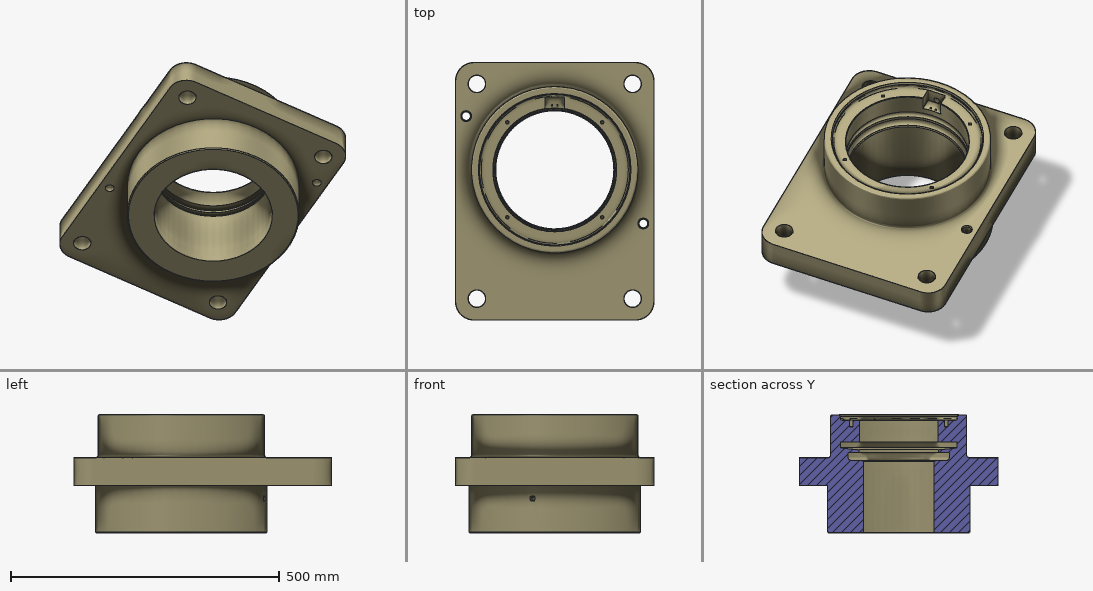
import cadquery as cq
import math

TOTAL_HEIGHT = 220.0
BOSS_HEIGHT = 80.0
PLATE_THICKNESS = 52.0
PLATE_TOP = TOTAL_HEIGHT - BOSS_HEIGHT
PLATE_BOTTOM = PLATE_TOP - PLATE_THICKNESS

PLATE_WIDTH = 370.0
PLATE_LENGTH = 480.0
PLATE_CORNER_RADIUS = 35.0
PLATE_CENTER_Y = -40.0

BASE_EDGE_CHAMFER = 2.0
BOSS_RADIUS = 155.0
BOSS_EDGE_FILLET = 3.0
BOSS_FOOT_FILLET = 5.0
BASE_RADIUS = BOSS_RADIUS + BOSS_FOOT_FILLET

RECESS_DEPTH = 10.0
RECESS_RADIUS = 140.0
RECESS_FLOOR_Z = TOTAL_HEIGHT - RECESS_DEPTH
RECESS_FILLET = 3.0
LEAD_IN_WIDTH = 2.0
LEAD_IN_HEIGHT = 3.5

COLLAR_RADIUS = 114.5
COLLAR_CHAMFER = 1.0
COLLAR_BOTTOM_Z = TOTAL_HEIGHT - 51.0
CHAMBER_RADIUS = 140.0
LIP_RADIUS = 115.0
LIP_THICKNESS = 5.5
LIP_EDGE_Z = TOTAL_HEIGHT - 65.0
LIP_BOTTOM_Z = LIP_EDGE_Z - LIP_THICKNESS
LIP_SLOPE_ANGLE = 8.0
SEAT_RADIUS = 129.0
SEAT_FLOOR_Z = TOTAL_HEIGHT - 85.0
SEAT_FILLET = 5.0
BORE_RADIUS = 110.0
BORE_CHAMFER = 2.0

MOUNT_HOLE_DIAMETER = 32.0
MOUNT_HOLE_EDGE_OFFSET = 40.0
PIN_HOLE_DIAMETER = 16.0
PIN_HOLE_CHAMFER = 2.0
PIN_HOLE_X = 165.0
PIN_HOLE_Y = 100.0

SCREW_CIRCLE_RADIUS = 125.0
SCREW_HOLE_DIAMETER = 6.0
SCREW_HOLE_DEPTH = 12.0
SCREW_HOLE_COUNT = 4
SCREW_START_ANGLE = 45.0

POCKET_WIDTH = 36.0
POCKET_BACK_Y = 136.0
POCKET_DEPTH = 28.0
POCKET_CORNER_RADIUS = 3.0
POCKET_FLOOR_Z = RECESS_FLOOR_Z - POCKET_DEPTH
POCKET_SCREW_COUNT = 2
POCKET_SCREW_DIAMETER = 2.5
POCKET_SCREW_DEPTH = 8.0
POCKET_SCREW_SPACING = 10.0
POCKET_SCREW_Y = 120.0
CABLE_HOLE_DIAMETER = 12.0
CABLE_HOLE_Z = POCKET_FLOOR_Z + 7.0

PORT_ANGLE = 255.0
PORT_DIAMETER = 10.0
PORT_DEPTH = 15.0
PORT_TIP_ANGLE = 118.0
PORT_Z = PLATE_BOTTOM - 24.0

ARC_MIDPOINT = math.sqrt(0.5)


def make_plate():
    return (
        cq.Workplane("XY", origin=(0, PLATE_CENTER_Y, PLATE_BOTTOM))
        .rect(PLATE_WIDTH, PLATE_LENGTH)
        .extrude(PLATE_THICKNESS)
        .edges("|Z")
        .fillet(PLATE_CORNER_RADIUS)
    )


def make_round_body():
    """Base and boss, turned about Z, before the inside is removed."""
    edge_center_r = BOSS_RADIUS - BOSS_EDGE_FILLET
    edge_center_z = TOTAL_HEIGHT - BOSS_EDGE_FILLET
    edge_offset = BOSS_EDGE_FILLET * ARC_MIDPOINT
    foot_center_z = PLATE_TOP + BOSS_FOOT_FILLET
    foot_offset = BOSS_FOOT_FILLET * ARC_MIDPOINT
    return (
        cq.Workplane("XZ")
        .moveTo(0, 0)
        .lineTo(BASE_RADIUS - BASE_EDGE_CHAMFER, 0)
        .lineTo(BASE_RADIUS, BASE_EDGE_CHAMFER)
        .lineTo(BASE_RADIUS, PLATE_TOP)
        .threePointArc(
            (BASE_RADIUS - foot_offset, foot_center_z - foot_offset),
            (BOSS_RADIUS, foot_center_z),
        )
        .lineTo(BOSS_RADIUS, edge_center_z)
        .threePointArc(
            (edge_center_r + edge_offset, edge_center_z + edge_offset),
            (edge_center_r, TOTAL_HEIGHT),
        )
        .lineTo(0, TOTAL_HEIGHT)
        .close()
        .revolve(360, (0, 0, 0), (0, 1, 0))
    )


def make_inside():
    """Turned cavity from the top recess down through the bore."""
    recess_arc_r = RECESS_RADIUS - RECESS_FILLET
    recess_arc_z = RECESS_FLOOR_Z + RECESS_FILLET
    recess_offset = RECESS_FILLET * ARC_MIDPOINT
    seat_arc_r = SEAT_RADIUS - SEAT_FILLET
    seat_arc_z = SEAT_FLOOR_Z + SEAT_FILLET
    seat_offset = SEAT_FILLET * ARC_MIDPOINT
    lip_rise = (CHAMBER_RADIUS - LIP_RADIUS) * math.tan(math.radians(LIP_SLOPE_ANGLE))
    return (
        cq.Workplane("XZ")
        .moveTo(0, 0)
        .lineTo(BORE_RADIUS, 0)
        .lineTo(BORE_RADIUS, SEAT_FLOOR_Z - BORE_CHAMFER)
        .lineTo(BORE_RADIUS + BORE_CHAMFER, SEAT_FLOOR_Z)
        .lineTo(seat_arc_r, SEAT_FLOOR_Z)
        .threePointArc(
            (seat_arc_r + seat_offset, seat_arc_z - seat_offset),
            (SEAT_RADIUS, seat_arc_z),
        )
        .lineTo(SEAT_RADIUS, LIP_BOTTOM_Z)
        .lineTo(LIP_RADIUS, LIP_BOTTOM_Z)
        .lineTo(LIP_RADIUS, LIP_EDGE_Z)
        .lineTo(CHAMBER_RADIUS, LIP_EDGE_Z + lip_rise)
        .lineTo(CHAMBER_RADIUS, COLLAR_BOTTOM_Z)
        .lineTo(COLLAR_RADIUS, COLLAR_BOTTOM_Z)
        .lineTo(COLLAR_RADIUS, RECESS_FLOOR_Z - COLLAR_CHAMFER)
        .lineTo(COLLAR_RADIUS + COLLAR_CHAMFER, RECESS_FLOOR_Z)
        .lineTo(recess_arc_r, RECESS_FLOOR_Z)
        .threePointArc(
            (recess_arc_r + recess_offset, recess_arc_z - recess_offset),
            (RECESS_RADIUS, recess_arc_z),
        )
        .lineTo(RECESS_RADIUS, TOTAL_HEIGHT - LEAD_IN_HEIGHT)
        .lineTo(RECESS_RADIUS + LEAD_IN_WIDTH, TOTAL_HEIGHT)
        .lineTo(0, TOTAL_HEIGHT)
        .close()
        .revolve(360, (0, 0, 0), (0, 1, 0))
    )


def make_mount_holes():
    return (
        cq.Workplane("XY", origin=(0, PLATE_CENTER_Y, PLATE_BOTTOM))
        .rect(
            PLATE_WIDTH - 2 * MOUNT_HOLE_EDGE_OFFSET,
            PLATE_LENGTH - 2 * MOUNT_HOLE_EDGE_OFFSET,
            forConstruction=True,
        )
        .vertices()
        .circle(MOUNT_HOLE_DIAMETER / 2)
        .extrude(PLATE_THICKNESS)
    )


def make_pin_hole(x, y):
    """Through hole in the plate with a chamfered upper edge."""
    radius = PIN_HOLE_DIAMETER / 2
    hole = (
        cq.Workplane("XY", origin=(x, y, PLATE_BOTTOM))
        .circle(radius)
        .extrude(PLATE_THICKNESS)
    )
    chamfer_cone = cq.Solid.makeCone(
        radius,
        radius + PIN_HOLE_CHAMFER,
        PIN_HOLE_CHAMFER,
        pnt=cq.Vector(x, y, PLATE_TOP - PIN_HOLE_CHAMFER),
    )
    return hole.union(cq.Workplane(chamfer_cone))


def make_screw_holes():
    return (
        cq.Workplane("XY", origin=(0, 0, RECESS_FLOOR_Z))
        .polarArray(SCREW_CIRCLE_RADIUS, SCREW_START_ANGLE, 360, SCREW_HOLE_COUNT)
        .circle(SCREW_HOLE_DIAMETER / 2)
        .extrude(-SCREW_HOLE_DEPTH)
    )


def make_pocket():
    """Notch open to the bore, with two screw holes in its floor and a cable hole behind."""
    notch = (
        cq.Workplane("XY", origin=(0, POCKET_BACK_Y / 2, POCKET_FLOOR_Z))
        .rect(POCKET_WIDTH, POCKET_BACK_Y)
        .extrude(POCKET_DEPTH)
        .edges("|Z and >Y")
        .fillet(POCKET_CORNER_RADIUS)
    )
    screw_holes = (
        cq.Workplane("XY", origin=(0, POCKET_SCREW_Y, POCKET_FLOOR_Z))
        .rarray(POCKET_SCREW_SPACING, 1, POCKET_SCREW_COUNT, 1)
        .circle(POCKET_SCREW_DIAMETER / 2)
        .extrude(-POCKET_SCREW_DEPTH)
    )
    cable_hole = (
        cq.Workplane("XZ", origin=(0, POCKET_SCREW_Y, CABLE_HOLE_Z))
        .circle(CABLE_HOLE_DIAMETER / 2)
        .extrude(POCKET_SCREW_Y - BASE_RADIUS)
    )
    return notch.union(screw_holes).union(cable_hole)


def make_port():
    """Blind radial hole with a drill-point bottom."""
    radius = PORT_DIAMETER / 2
    tip_length = radius / math.tan(math.radians(PORT_TIP_ANGLE / 2))
    return (
        cq.Workplane("XY")
        .moveTo(BASE_RADIUS - PORT_DEPTH - tip_length, 0)
        .lineTo(BASE_RADIUS - PORT_DEPTH, radius)
        .lineTo(BASE_RADIUS, radius)
        .lineTo(BASE_RADIUS, 0)
        .close()
        .revolve(360, (0, 0, 0), (1, 0, 0))
        .rotate((0, 0, 0), (0, 0, 1), PORT_ANGLE)
        .translate((0, 0, PORT_Z))
    )


result = (
    make_plate()
    .union(make_round_body())
    .cut(make_inside())
    .cut(make_mount_holes())
    .cut(make_pin_hole(-PIN_HOLE_X, PIN_HOLE_Y))
    .cut(make_pin_hole(PIN_HOLE_X, -PIN_HOLE_Y))
    .cut(make_screw_holes())
    .cut(make_pocket())
    .cut(make_port())
)